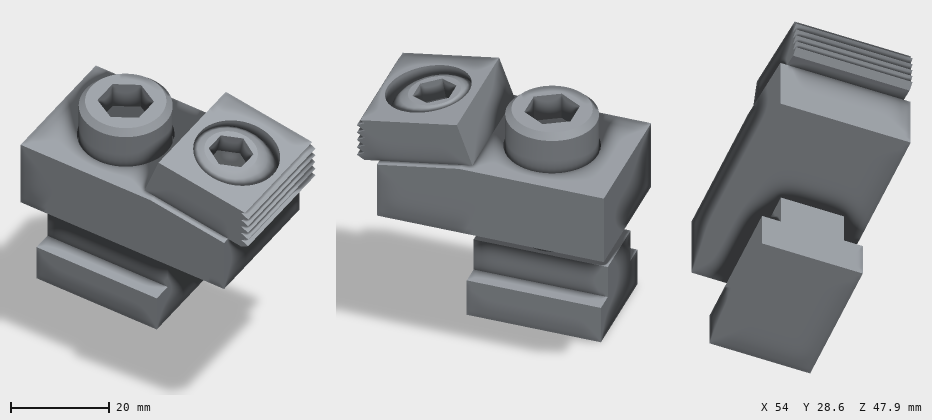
import cadquery as cq
import math


overall_length = 54.05

nut_length = 29.05
nut_foot_width = 22.1
nut_neck_width = 13.85
nut_foot_height = 8.55
nut_height = 16.0

body_width = 28.6
body_left = -16.3
body_right = 32.85
body_bottom = 22.5
body_top = 38.25
slope_start = 15.0
slope_angle = 10
slope_tan = math.tan(math.radians(slope_angle))

shank_diameter = 12.0
bolt_head_diameter = 19.2
bolt_head_top = 47.35
bolt_head_height = 12.0
bolt_head_bottom = bolt_head_top - bolt_head_height
bolt_chamfer = 1.3
bolt_hex_flats = 10.0
bolt_hex_depth = 6.0
counterbore_diameter = 19.9

jaw_width = 25.55
jaw_thickness = 9.65
jaw_left = 12.7
jaw_back_angle = 20
tooth_count = 5
tooth_pitch = 1.85
tooth_depth = 1.7
tooth_tip_x = body_left + overall_length
tooth_root_x = tooth_tip_x - tooth_depth
top_tip_z = 42.8
jaw_bore_diameter = 17.95
jaw_bore_along_slope = 10.25

screw_along_slope = 8.95
screw_recess = 0.4
screw_head_height = 6.6
screw_head_radius = 10.5
screw_flat_radius = 5.5
dome_mid_radius = 9.1
dome_mid_drop = 2.25
screw_hex_flats = 8.0
screw_hex_depth = 4.55
screw_shank_length = 10.8
screw_head_top = jaw_thickness - screw_recess
screw_head_bottom = screw_head_top - screw_head_height


def slope_plane(along, height):
    """Plane parallel to the slope, at a distance down it and a height above it."""
    slope = cq.Plane(
        origin=(slope_start, 0, body_top),
        xDir=(1, 0, -slope_tan),
        normal=(slope_tan, 0, 1),
    )
    return cq.Workplane(cq.Plane(
        origin=slope.toWorldCoords((along, 0, height)),
        xDir=slope.xDir,
        normal=slope.zDir,
    ))


def level_plane(z):
    return cq.Workplane("XY", origin=(0, 0, z))


def hex_socket(plane, flats, depth):
    """Hexagonal prism below a plane, with two corners on the local Y axis."""
    corner_diameter = flats / math.cos(math.radians(30))
    return plane.transformed(rotate=(0, 0, 90)).polygon(6, corner_diameter).extrude(-depth)


def slope_z(x):
    return body_top - (x - slope_start) * slope_tan


def make_bolt():
    shank = level_plane(0).circle(shank_diameter / 2).extrude(bolt_head_bottom)
    head = level_plane(bolt_head_bottom).circle(bolt_head_diameter / 2).extrude(bolt_head_height)
    head = head.faces(">Z").chamfer(bolt_chamfer)
    socket = hex_socket(level_plane(bolt_head_top), bolt_hex_flats, bolt_hex_depth)
    return head.union(shank).cut(socket)


def make_nut():
    foot = level_plane(0).rect(nut_length, nut_foot_width).extrude(nut_foot_height)
    neck = level_plane(0).rect(nut_length, nut_neck_width).extrude(nut_height)
    bore = level_plane(0).circle(shank_diameter / 2).extrude(nut_height)
    return foot.union(neck).cut(bore)


def make_jaw_screw():
    profile = cq.Workplane(cq.Plane(
        origin=slope_plane(screw_along_slope, screw_head_top).plane.origin,
        xDir=(1, 0, -slope_tan),
        normal=(0, -1, 0),
    ))
    head = (
        profile.lineTo(screw_flat_radius, 0)
        .threePointArc((dome_mid_radius, -dome_mid_drop), (screw_head_radius, -screw_head_height))
        .lineTo(0, -screw_head_height)
        .close()
        .revolve(360, (0, 0), (0, 1))
    )
    shank = (
        slope_plane(screw_along_slope, screw_head_bottom)
        .circle(shank_diameter / 2)
        .extrude(-screw_shank_length)
    )
    return head.union(shank)


def make_body():
    outline = [
        (body_left, body_bottom),
        (body_right, body_bottom),
        (body_right, slope_z(body_right)),
        (slope_start, body_top),
        (body_left, body_top),
    ]
    block = cq.Workplane("XZ").polyline(outline).close().extrude(body_width / 2, both=True)
    bolt_hole = level_plane(body_bottom).circle(shank_diameter / 2).extrude(body_top - body_bottom)
    counterbore = (
        level_plane(bolt_head_bottom)
        .circle(counterbore_diameter / 2)
        .extrude(body_top - bolt_head_bottom)
    )
    return block.cut(bolt_hole).cut(counterbore)


def jaw_outline():
    """Side outline: a leaning slab whose front edge is a column of V teeth."""
    rise = jaw_thickness / math.cos(math.radians(slope_angle))
    tooth_slope = tooth_pitch / 2 / tooth_depth
    top_root_z = top_tip_z + tooth_pitch / 2
    bottom_tip_z = top_tip_z - (tooth_count - 1) * tooth_pitch

    top_gap = slope_z(tooth_root_x) + rise - top_root_z
    top_end_x = tooth_root_x + top_gap / (tooth_slope + slope_tan)
    bottom_gap = bottom_tip_z - slope_z(tooth_tip_x)
    bottom_end_x = tooth_tip_x - bottom_gap / (tooth_slope + slope_tan)

    back_length = jaw_thickness / math.cos(math.radians(jaw_back_angle - slope_angle))
    back_top_x = jaw_left + back_length * math.sin(math.radians(jaw_back_angle))
    points = [
        (jaw_left, slope_z(jaw_left)),
        (back_top_x, slope_z(back_top_x) + rise),
        (top_end_x, slope_z(top_end_x) + rise),
    ]
    for tooth in range(tooth_count):
        tip_z = top_tip_z - tooth * tooth_pitch
        points.append((tooth_root_x, tip_z + tooth_pitch / 2))
        points.append((tooth_tip_x, tip_z))
    points.append((bottom_end_x, slope_z(bottom_end_x)))
    return points


def make_jaw():
    slab = cq.Workplane("XZ").polyline(jaw_outline()).close().extrude(jaw_width / 2, both=True)
    bore = (
        slope_plane(jaw_bore_along_slope, screw_head_bottom)
        .circle(jaw_bore_diameter / 2)
        .extrude(jaw_thickness - screw_head_bottom)
    )
    return slab.cut(bore)


clamp_bolt = make_bolt()
t_nut = make_nut()

screw_blank = make_jaw_screw()
clamp_body = make_body().cut(screw_blank)
jaw = make_jaw().cut(screw_blank)
jaw_screw = screw_blank.cut(
    hex_socket(slope_plane(screw_along_slope, screw_head_top), screw_hex_flats, screw_hex_depth)
)

result = cq.Compound.makeCompound([
    t_nut.val(),
    clamp_body.val(),
    clamp_bolt.val(),
    jaw.val(),
    jaw_screw.val(),
])